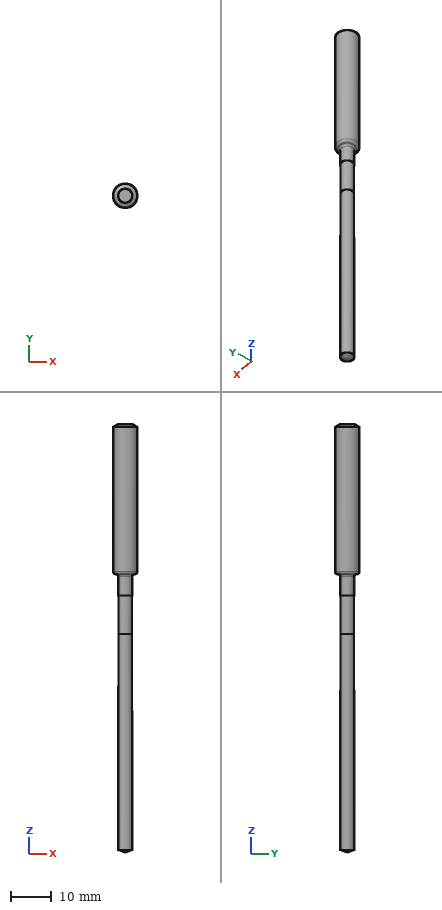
import cadquery as cq
import math

total_length = 105.0
shank_diameter = 6.0
neck_diameter = 3.5

neck_end_depth = 42.0
cutting_start_depth = 51.5

shank_straight_end_depth = 36.1
top_chamfer_height = 0.7
shoulder_outer_radius = 0.7

point_diameter = neck_diameter
radial_relief = 0.02
point_height = 0.6

shank_radius = shank_diameter / 2
neck_radius = neck_diameter / 2
point_radius = point_diameter / 2
relief_radius = point_radius - radial_relief
shoulder_inner_radius = shank_radius - neck_radius - shoulder_outer_radius
neck_end_z = total_length - neck_end_depth
cutting_start_z = total_length - cutting_start_depth
axis_start = (0, 0, 0)
axis_end = (0, 1, 0)


def make_holder():
    """Shank with a chamfered top, an S-shaped shoulder, a neck and a narrower stem below it."""
    outer_round_top_z = total_length - shank_straight_end_depth
    outer_round_bottom_z = outer_round_top_z - shoulder_outer_radius
    inner_round_bottom_z = outer_round_bottom_z - shoulder_inner_radius
    shoulder_mid_radius = neck_radius + shoulder_inner_radius
    arc_mid = math.sqrt(0.5)
    profile = (
        cq.Workplane("XZ")
        .moveTo(0, cutting_start_z)
        .lineTo(relief_radius, cutting_start_z)
        .lineTo(relief_radius, neck_end_z)
        .lineTo(neck_radius, neck_end_z)
        .lineTo(neck_radius, inner_round_bottom_z)
        .threePointArc(
            (
                shoulder_mid_radius - shoulder_inner_radius * arc_mid,
                inner_round_bottom_z + shoulder_inner_radius * arc_mid,
            ),
            (shoulder_mid_radius, outer_round_bottom_z),
        )
        .threePointArc(
            (
                shoulder_mid_radius + shoulder_outer_radius * arc_mid,
                outer_round_top_z - shoulder_outer_radius * arc_mid,
            ),
            (shank_radius, outer_round_top_z),
        )
        .lineTo(shank_radius, total_length - top_chamfer_height)
        .lineTo(neck_radius, total_length)
        .lineTo(0, total_length)
        .close()
    )
    return profile.revolve(360, axis_start, axis_end)


def make_cutting_part():
    """Cutting length with a slight back taper, ending in a conical point."""
    profile = (
        cq.Workplane("XZ")
        .moveTo(0, 0)
        .lineTo(point_radius, point_height)
        .lineTo(relief_radius, cutting_start_z)
        .lineTo(0, cutting_start_z)
        .close()
    )
    return profile.revolve(360, axis_start, axis_end)


holder = make_holder()
cutting_part = make_cutting_part()

result = cq.Compound.makeCompound([holder.val(), cutting_part.val()])